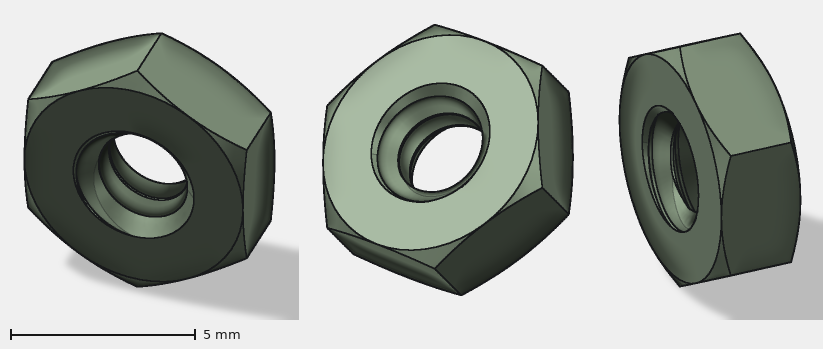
import cadquery as cq
import math

across_corners = 7.33
thickness = 2.38
major_radius = 1.75
bore_radius = 1.225
pitch = 0.79
flank_angle = 30.0
corner_chamfer_angle = 30.0
countersink_angle = 45.0
overlap = 0.04

across_flats = across_corners * math.cos(math.radians(30))
corner_drop = (across_corners - across_flats) / 2 * math.tan(math.radians(corner_chamfer_angle))
countersink_depth = (major_radius - bore_radius) * math.tan(math.radians(countersink_angle))
root_width = pitch / 8


def hex_body():
    """Hexagonal prism along Z, corners on +Y and -Y, both ends chamfered at the corners."""
    prism = cq.Workplane("XY").polygon(6, across_corners).extrude(thickness)
    prism = prism.rotate((0, 0, 0), (0, 0, 1), 90)
    corner_envelope = (
        cq.Workplane("XZ")
        .moveTo(0, 0)
        .lineTo(across_flats / 2, 0)
        .lineTo(across_corners / 2, corner_drop)
        .lineTo(across_corners / 2, thickness - corner_drop)
        .lineTo(across_flats / 2, thickness)
        .lineTo(0, thickness)
        .close()
        .revolve(360, (0, 0), (0, 1))
    )
    return prism.intersect(corner_envelope)


def bore_cutter():
    """Plain cylinder through the nut."""
    return cq.Workplane("XY").circle(bore_radius).extrude(thickness)


def countersink_cutter():
    """Through bore with a conical countersink at each end."""
    return (
        cq.Workplane("XZ")
        .moveTo(0, 0)
        .lineTo(major_radius, 0)
        .lineTo(bore_radius, countersink_depth)
        .lineTo(bore_radius, thickness - countersink_depth)
        .lineTo(major_radius, thickness)
        .lineTo(0, thickness)
        .close()
        .revolve(360, (0, 0), (0, 1))
    )


def thread_cutter():
    """Right-hand flat-rooted groove whose lower root edge meets the top face at -Y."""
    turns_below_top = math.ceil(thickness / pitch)
    groove_height = (turns_below_top + 1) * pitch
    inner_radius = bore_radius - overlap
    flank_rise = (major_radius - inner_radius) * math.tan(math.radians(flank_angle))
    profile = [
        (inner_radius, -flank_rise),
        (major_radius, 0),
        (major_radius, root_width),
        (inner_radius, root_width + flank_rise),
    ]

    helices = [
        cq.Wire.makeHelix(pitch, groove_height, radius).translate(cq.Vector(0, 0, z))
        for radius, z in profile
    ]
    faces = [
        cq.Face.makeRuledSurface(helix, helices[(i + 1) % len(helices)])
        for i, helix in enumerate(helices)
    ]
    for end_z in (0, groove_height):
        corners = [cq.Vector(radius, 0, z + end_z) for radius, z in profile]
        faces.append(cq.Face.makeFromWires(cq.Wire.makePolygon(corners, close=True)))

    groove = cq.Workplane(obj=cq.Solid.makeSolid(cq.Shell.makeShell(faces)))
    groove = groove.rotate((0, 0, 0), (0, 0, 1), -90)
    return groove.translate((0, 0, thickness - turns_below_top * pitch))


nut = hex_body().cut(bore_cutter()).cut(thread_cutter()).cut(countersink_cutter())
nut = nut.translate((0, 0, -thickness / 2)).rotate((0, 0, 0), (1, 0, 0), 90)
result = cq.Workplane(obj=nut.val())